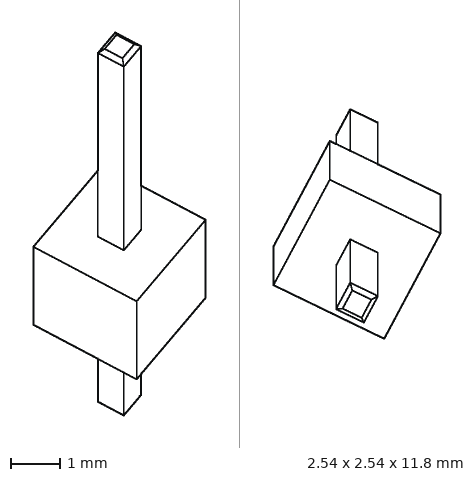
import cadquery as cq

pin_length = 11.8
pin_width = 0.64
tip_chamfer = 0.1

housing_width = 2.54
housing_height = 2.6
tail_length = 3.0

pin_bottom = -tail_length


def make_pin():
    """Square pin with all four edges of each end chamfered."""
    blank = (
        cq.Workplane("XY")
        .workplane(offset=pin_bottom)
        .rect(pin_width, pin_width)
        .extrude(pin_length)
    )
    return blank.faces("<Z or >Z").edges().chamfer(tip_chamfer)


def make_housing():
    """Plain block that carries the pin."""
    return cq.Workplane("XY").rect(housing_width, housing_width).extrude(housing_height)


result = make_housing().union(make_pin())